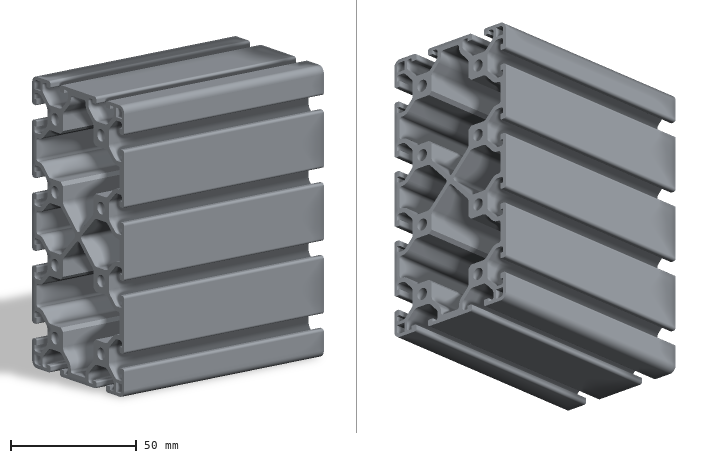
import cadquery as cq
import math

pitch = 30.0
width = 2 * pitch
height = 4 * pitch
length = 100.0
half_cell = pitch / 2
outer_radius = 3.0

core_side = 10.2
core_half = core_side / 2
bore_diameter = 5.0
core_chamfer = 1.5

web_thickness = 1.9
web_offset = web_thickness / math.sqrt(2)
web_radius = 2.6
cross_radius = 1.5
bend_radius = 4.8

mouth_half = 3.1
lip_depth = 2.9
lip_width = 2.5
lip_radius = 1.1
lip_inner_radius = 0.6
flange_thickness = 1.5
slot_half = 8.3
slot_radius = 1.2
slot_floor_depth = half_cell - core_half
mouth_margin = 1.2

wall_thickness = 2.9
wall_radius = 1.1
pocket_half = half_cell - slot_half - web_thickness
box_side = 4.0
box_radius = outer_radius - flange_thickness


def prism(corners):
    """Solid along Y from (x, z, radius) corners, each rounded by its radius."""
    outline = None
    count = len(corners)
    for i, (x, z, radius) in enumerate(corners):
        before = cq.Vector(*corners[i - 1][:2])
        after = cq.Vector(*corners[(i + 1) % count][:2])
        corner = cq.Vector(x, z)
        to_before = (before - corner).normalized()
        to_after = (after - corner).normalized()
        half_angle = to_before.getAngle(to_after) / 2
        setback = radius / math.tan(half_angle)
        start = corner + to_before * setback
        end = corner + to_after * setback
        if outline is None:
            outline = cq.Workplane("XZ", origin=(0, length / 2, 0)).moveTo(start.x, start.y)
        else:
            outline = outline.lineTo(start.x, start.y)
        if radius > 0:
            bisector = (to_before + to_after).normalized()
            middle = corner + bisector * (radius / math.sin(half_angle) - radius)
            outline = outline.threePointArc((middle.x, middle.y), (end.x, end.y))
    return outline.close().extrude(length)


def on_face(points, centre, angle):
    """Place (along, depth, radius) points on a face; at angle 0 the face looks towards +Z."""
    cos_a = math.cos(math.radians(angle))
    sin_a = math.sin(math.radians(angle))
    placed = []
    for along, depth, radius in points:
        x = centre[0] + along * cos_a + depth * sin_a
        z = centre[1] + along * sin_a - depth * cos_a
        placed.append((x, z, radius))
    return placed


def with_mirror(half):
    """Extend a half outline on the positive side with its mirror image, ordered left to right."""
    return [(-along, depth, radius) for along, depth, radius in half] + half[::-1]


def slot(centre, angle):
    half = [
        (mouth_half + mouth_margin, -mouth_margin, 0),
        (mouth_half + mouth_margin, 0, 0),
        (mouth_half, 0, lip_radius),
        (mouth_half, lip_depth, lip_inner_radius),
        (mouth_half + lip_width, lip_depth, 0),
        (mouth_half + lip_width, flange_thickness, 0),
        (slot_half, flange_thickness, slot_radius),
        (slot_half, half_cell - slot_half - web_offset, web_radius),
        (core_half - web_offset, slot_floor_depth, web_radius),
    ]
    return prism(on_face(with_mirror(half), centre, angle))


def pocket(centre, angle):
    """Part of a chamber outline behind the outer wall between two slots."""
    half = [
        (half_cell - core_half, slot_floor_depth + web_offset, web_radius),
        (pocket_half, pocket_half + web_offset, bend_radius),
        (pocket_half, wall_thickness, wall_radius),
    ]
    return on_face(with_mirror(half), centre, angle)


core_near = half_cell - core_half
core_far = half_cell + core_half

upper_core_chamfer = [
    (core_near, pitch + core_near + core_chamfer, 0),
    (core_near + core_chamfer, pitch + core_near, 0),
]
lower_core_chamfer = [
    (core_near + core_chamfer, core_far, 0),
    (core_near, core_far - core_chamfer, 0),
]
web_joint = (core_near, core_near + web_offset, web_radius)
right_outline = (
    upper_core_chamfer
    + pocket((width / 2, pitch), -90)
    + lower_core_chamfer
    + [web_joint]
)
left_outline = [(-x, z, radius) for x, z, radius in reversed(right_outline)]
cross_corner = (0, web_offset, cross_radius)
upper_chamber = prism(pocket((0, height / 2), 0) + right_outline + [cross_corner] + left_outline)

side_chamber = prism(
    pocket((width / 2, 0), -90)
    + [
        (core_near + web_offset, -core_near, web_radius),
        (web_offset, 0, cross_radius),
        (core_near + web_offset, core_near, web_radius),
    ]
)

section = (
    cq.Workplane("XY")
    .box(width, length, height)
    .edges("|Y")
    .fillet(outer_radius)
)
section = section.cut(upper_chamber).cut(upper_chamber.mirror("XY"))
section = section.cut(side_chamber).cut(side_chamber.mirror("YZ"))

cell_columns = [-half_cell, half_cell]
cell_rows = [-pitch - half_cell, -half_cell, half_cell, pitch + half_cell]

for x in cell_columns:
    section = section.cut(slot((x, height / 2), 0))
    section = section.cut(slot((x, -height / 2), 180))

for z in cell_rows:
    section = section.cut(slot((width / 2, z), -90))
    section = section.cut(slot((-width / 2, z), 90))

for side_x in (-1, 1):
    for side_z in (-1, 1):
        outer_x = side_x * (width / 2 - flange_thickness)
        outer_z = side_z * (height / 2 - flange_thickness)
        inner_x = outer_x - side_x * box_side
        inner_z = outer_z - side_z * box_side
        box = [
            (outer_x, outer_z, box_radius),
            (outer_x, inner_z, 0),
            (inner_x, inner_z, 0),
            (inner_x, outer_z, 0),
        ]
        section = section.cut(prism(box))

bores = (
    cq.Workplane("XZ", origin=(0, length / 2, 0))
    .pushPoints([(x, z) for x in cell_columns for z in cell_rows])
    .circle(bore_diameter / 2)
    .extrude(length)
)

result = section.cut(bores)